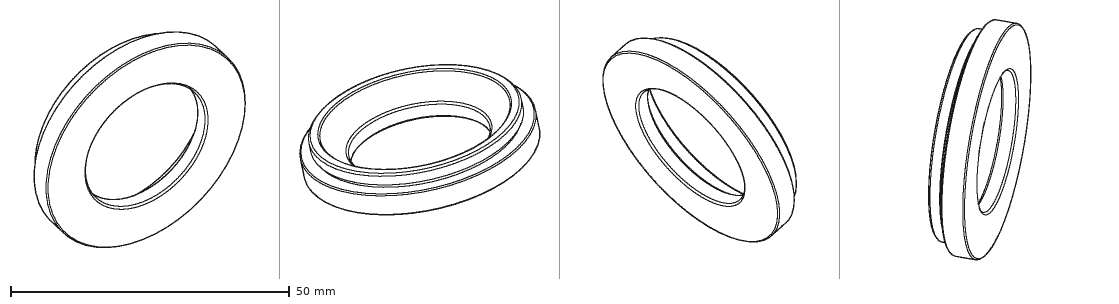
import cadquery as cq

total_length = 7.4
flange_diameter = 43.2
flange_start = 3.0
flange_chamfer = 0.25

lip_diameter = 39.0
lip_length = 2.2
lip_chamfer = 0.4
groove_diameter = 38.0

recess_diameter = 34.8
recess_depth = 4.25
recess_mouth_chamfer = 0.3
recess_floor_fillet = 0.78

bore_diameter = 25.9
bore_chamfer = 0.4


def disc(diameter, start, end):
    """Solid cylinder on the X axis between two X positions."""
    return cq.Workplane("YZ").workplane(offset=start).circle(diameter / 2).extrude(end - start)


def make_body():
    """Chamfered lip and flange joined by the narrower groove section."""
    lip = disc(lip_diameter, 0, lip_length).faces("<X").chamfer(lip_chamfer)
    groove = disc(groove_diameter, lip_length, flange_start)
    flange = disc(flange_diameter, flange_start, total_length).edges().chamfer(flange_chamfer)
    return lip.union(groove).union(flange)


def make_countersink(diameter, start, size):
    """45 degree cone narrowing to the given diameter; a negative size points it towards -X."""
    mouth = cq.Workplane("YZ").workplane(offset=start).circle(diameter / 2 + abs(size))
    return mouth.workplane(offset=size).circle(diameter / 2).loft(ruled=True)


def make_recess():
    """Recess volume with a rounded floor corner and a flared mouth."""
    recess = disc(recess_diameter, 0, recess_depth).faces(">X").edges().fillet(recess_floor_fillet)
    return recess.union(make_countersink(recess_diameter, 0, recess_mouth_chamfer))


def make_bore():
    """Through bore with a chamfer at both ends."""
    bore = disc(bore_diameter, recess_depth, total_length)
    front_chamfer = make_countersink(bore_diameter, recess_depth, bore_chamfer)
    back_chamfer = make_countersink(bore_diameter, total_length, -bore_chamfer)
    return bore.union(front_chamfer).union(back_chamfer)


result = make_body().cut(make_recess()).cut(make_bore())